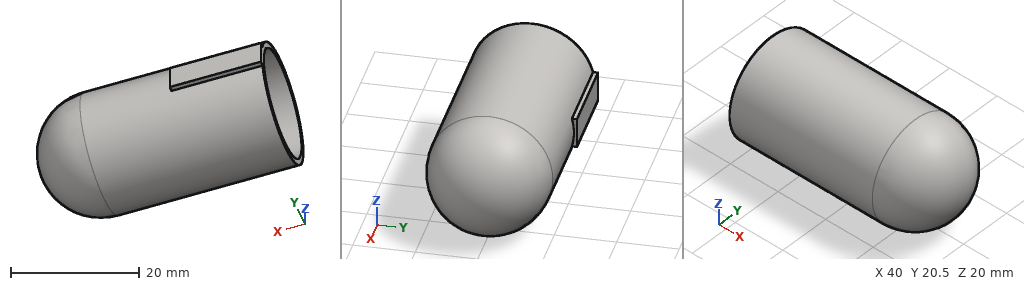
import cadquery as cq

total_length = 40.0
outer_radius = 10.0
wall = 1.0
tab_width = 5.0
tab_rise = 0.5

tube_length = total_length - outer_radius
inner_radius = outer_radius - wall
tab_length = tube_length / 2


def round_ended_rod(radius):
    """Solid rod along X from the open end, closed by a hemisphere at +X."""
    rod = cq.Workplane("YZ").circle(radius).extrude(tube_length)
    dome = cq.Workplane("XY").sphere(radius).translate((tube_length, 0, 0))
    return rod.union(dome)


def side_tab():
    """Flat rectangular tab on the +Y side, starting at the open end."""
    return cq.Workplane("XY").box(
        tab_length, outer_radius + tab_rise, tab_width, centered=(False, False, True)
    )


result = round_ended_rod(outer_radius).union(side_tab()).cut(round_ended_rod(inner_radius))